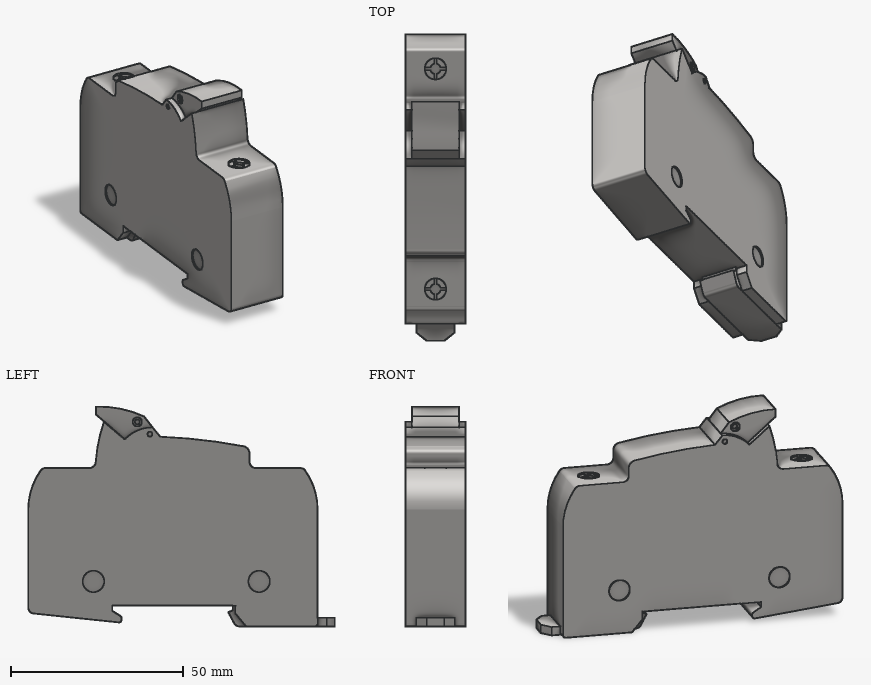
import cadquery as cq
import math


housing_width = 17.5
housing_length = 83.8
shoulder_height = 45.9
flank_height = 33.8
flank_radius = 19.5
front_foot_radius = 0.9
corner_radius = 1.8
nose_radius = 2.2
hook_tip_radius = 0.8

riser_front = -22.2
riser_rear = 22.5
deck_front = (riser_front, 51.9)
deck_middle = (-8.9, 54.0)
deck_rear = (3.6, 55.0)
riser_rear_middle = (21.6, 53.5)
riser_rear_top = (20.0, 59.3)

seat_front = (5.9, 57.6)
seat_middle = (10.7, 56.6)
seat_bottom = (13.9, 54.2)

notch_front = -18.1
notch_rear = 17.5
notch_height = 6.0
front_foot_slope_top = 3.7
front_foot_inner = -21.2
rear_hook_top = 4.5
rear_hook_tip = 14.8
rear_hook_tip_top = 2.8
rear_hook_bottom = 1.1
rear_foot_bottom = 3.9

screw_offset = 31.9
screw_radius = 3.1
screw_recess_depth = 0.4
drive_radius = 1.5
drive_slot_width = 0.8
drive_depth = 0.8

dimple_places = [(-24.95, 13.05), (23.0, 13.05)]
dimple_radius = 3.1
dimple_depth = 0.4

lever_width = 13.7
lever_rear = 22.3
lever_top = 63.7
lever_rear_bottom = 61.4
lever_top_middle = (15.1, 63.05)
lever_brow = (8.35, 60.8)
seal_place = (10.3, 59.2)
seal_radius = 1.3
seal_depth = 0.6
seal_hole_radius = 0.7
seal_hole_depth = 0.35

hinge_place = (6.7, 55.7)
hinge_radius = 0.7
hinge_recess_depth = 0.35

slide_width = 11.1
slide_height = 2.6
tab_length = 5.0
tab_chamfer_length = 2.4
tab_tip_width = 5.1
hook_front = -17.3
hook_shelf = 4.7
hook_tip = (-16.0, 4.2)
hook_toe = -18.2
hook_toe_radius = 1.8

half_length = housing_length / 2


def across(sketch, width):
    """Extrude an outline drawn in (Y, Z) to a width centred on X = 0."""
    return sketch.extrude(width / 2, both=True)


def round_cross_edges(body, place, radius):
    """Round the edge parallel to X that passes closest to a (Y, Z) place."""
    return body.edges(cq.selectors.NearestToPointSelector((0, *place))).fillet(radius)


def cross_rod(place, radius, width):
    """Round bar parallel to X, centred on X = 0."""
    return across(cq.Workplane("YZ").center(*place).circle(radius), width)


def side_recesses(place, radius, depth, width):
    """Two round cutters that sink a depth into both sides of a body of this width."""
    rod = cross_rod(place, radius, width)
    core = cross_rod(place, radius, width - 2 * depth)
    return rod.cut(core)


def screw_socket(y):
    """Cutter for a round recess with a deeper cross drive in its floor."""
    floor = shoulder_height - screw_recess_depth
    recess = cq.Workplane("XY", origin=(0, y, floor)).circle(screw_radius).extrude(screw_recess_depth)
    drive_plane = cq.Workplane("XY", origin=(0, y, floor - drive_depth))
    drive = drive_plane.circle(drive_radius).extrude(drive_depth)
    slots = drive_plane.rect(2 * screw_radius, drive_slot_width).extrude(drive_depth)
    slots = slots.union(drive_plane.rect(drive_slot_width, 2 * screw_radius).extrude(drive_depth))
    bore = drive_plane.circle(screw_radius).extrude(drive_depth)
    return recess.union(drive).union(slots.intersect(bore))


def flank_inset(rise):
    """How far the bulged flank has curved inward at a rise above its upright start."""
    return flank_radius - math.sqrt(flank_radius**2 - rise**2)


def build_housing():
    flank_rise = shoulder_height - flank_height
    shoulder_end = half_length - flank_inset(flank_rise)
    flank_middle_y = half_length - flank_inset(flank_rise / 2)
    flank_middle_z = flank_height + flank_rise / 2
    outline = (
        cq.Workplane("YZ")
        .moveTo(-half_length, 0)
        .lineTo(-half_length, flank_height)
        .threePointArc((-flank_middle_y, flank_middle_z), (-shoulder_end, shoulder_height))
        .lineTo(riser_front, shoulder_height)
        .lineTo(*deck_front)
        .threePointArc(deck_middle, deck_rear)
        .lineTo(*seat_front)
        .threePointArc(seat_middle, seat_bottom)
        .lineTo(*riser_rear_top)
        .threePointArc(riser_rear_middle, (riser_rear, shoulder_height))
        .lineTo(shoulder_end, shoulder_height)
        .threePointArc((flank_middle_y, flank_middle_z), (half_length, flank_height))
        .lineTo(half_length, rear_foot_bottom)
        .lineTo(rear_hook_tip, rear_hook_bottom)
        .lineTo(rear_hook_tip, rear_hook_tip_top)
        .lineTo(notch_rear, rear_hook_top)
        .lineTo(notch_rear, notch_height)
        .lineTo(notch_front, notch_height)
        .lineTo(notch_front, front_foot_slope_top)
        .lineTo(front_foot_inner, 0)
        .close()
    )
    body = across(outline, housing_width)
    rounded_corners = [
        ((-half_length, 0), front_foot_radius),
        ((-shoulder_end, shoulder_height), corner_radius),
        ((riser_front, shoulder_height), corner_radius),
        (deck_front, nose_radius),
        ((riser_rear, shoulder_height), corner_radius),
        ((shoulder_end, shoulder_height), corner_radius),
        ((half_length, rear_foot_bottom), corner_radius),
        ((rear_hook_tip, rear_hook_bottom), hook_tip_radius),
        ((rear_hook_tip, rear_hook_tip_top), hook_tip_radius),
    ]
    for place, radius in rounded_corners:
        body = round_cross_edges(body, place, radius)
    for y in (-screw_offset, screw_offset):
        body = body.cut(screw_socket(y))
    for place in dimple_places:
        body = body.cut(side_recesses(place, dimple_radius, dimple_depth, housing_width))
    return body


def build_lever():
    outline = (
        cq.Workplane("YZ")
        .moveTo(*seat_front)
        .threePointArc(seat_middle, seat_bottom)
        .lineTo(lever_rear, lever_rear_bottom)
        .lineTo(lever_rear, lever_top)
        .threePointArc(lever_top_middle, lever_brow)
        .close()
    )
    lever = across(outline, lever_width)
    lever = lever.cut(side_recesses(seal_place, seal_radius, seal_depth, lever_width))
    seal_floor_width = lever_width - 2 * seal_depth
    return lever.cut(side_recesses(seal_place, seal_hole_radius, seal_hole_depth, seal_floor_width))


def build_slide():
    """Flat bar with a rail hook at its inner end and a pull tab at its front end."""
    tab_end = -half_length - tab_length
    outline = (
        cq.Workplane("YZ")
        .moveTo(tab_end, 0)
        .lineTo(tab_end, slide_height)
        .lineTo(front_foot_inner, slide_height)
        .lineTo(front_foot_inner, notch_height)
        .lineTo(hook_front, notch_height)
        .lineTo(hook_front, hook_shelf)
        .lineTo(*hook_tip)
        .lineTo(hook_toe, 0)
        .close()
    )
    slide = across(outline, slide_width)
    slide = round_cross_edges(slide, (hook_toe, 0), hook_toe_radius)
    chamfer_width = (slide_width - tab_tip_width) / 2
    for side in (-1, 1):
        corner = (
            cq.Workplane("XY")
            .moveTo(side * slide_width / 2, tab_end)
            .lineTo(side * (slide_width / 2 - chamfer_width), tab_end)
            .lineTo(side * slide_width / 2, tab_end + tab_chamfer_length)
            .close()
            .extrude(slide_height)
        )
        slide = slide.cut(corner)
    return slide


slide = build_slide()
lever = build_lever()
hinge_bore = cross_rod(hinge_place, hinge_radius, housing_width)
hinge_pin = cross_rod(hinge_place, hinge_radius, housing_width - 2 * hinge_recess_depth)
housing = build_housing().cut(slide).cut(hinge_bore)

result = cq.Compound.makeCompound([housing.val(), lever.val(), slide.val(), hinge_pin.val()])